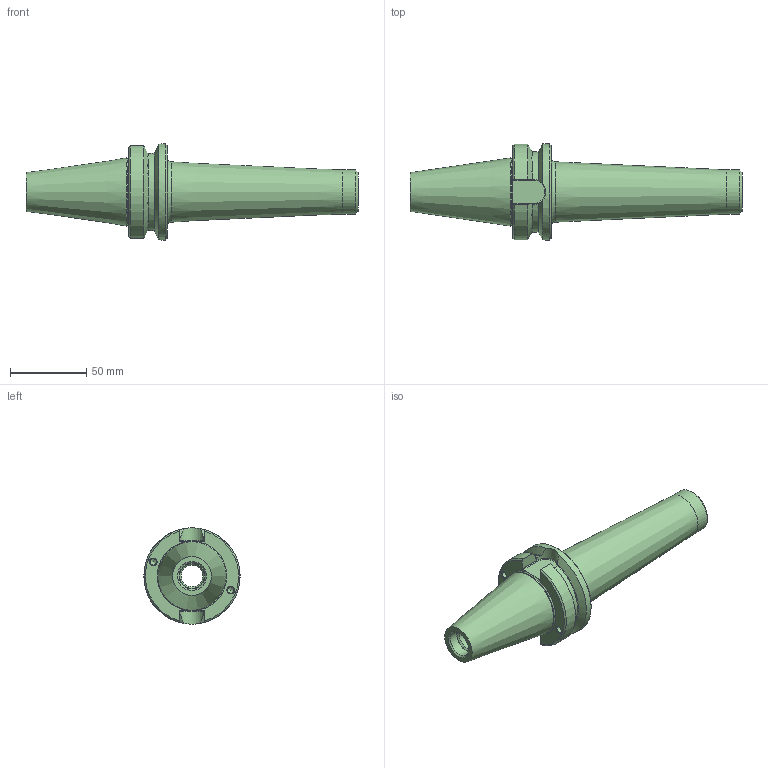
import cadquery as cq
import math

ORIGIN = (0, 0, 0)
AXIS = (1, 0, 0)

GAUGE_DIAMETER = 44.45
TAPER_LENGTH = 65.4
TAPER_RATE = 7 / 24
gauge_radius = GAUGE_DIAMETER / 2
small_end_radius = gauge_radius - TAPER_LENGTH * TAPER_RATE / 2

NECK_START = 0.4
NECK_DEPTH = 0.3
NECK_FILLET = 0.8
taper_end_radius = gauge_radius + NECK_START * TAPER_RATE / 2
neck_radius = taper_end_radius - NECK_DEPTH

FLANGE_RADIUS = 31.5
FLANGE_FRONT = 2.0
FLANGE_BACK = 27.0
FLANGE_FRONT_CHAMFER = 1.0
FLANGE_BACK_CHAMFER = 1.0
GROOVE_CENTER = 16.6
GROOVE_TOP_WIDTH = 10.0
GROOVE_FLOOR_RADIUS = 26.5
GROOVE_HALF_ANGLE = 30.0
GROOVE_FILLET = 0.5
groove_depth = FLANGE_RADIUS - GROOVE_FLOOR_RADIUS
groove_top_half = GROOVE_TOP_WIDTH / 2
groove_floor_half = groove_top_half - groove_depth * math.tan(math.radians(GROOVE_HALF_ANGLE))

NOSE_END = 152.0
NOSE_LENGTH = 10.0
NOSE_RADIUS = 14.5
NOSE_CHAMFER = 1.5
SHANK_ROOT_RADIUS = 19.75
ROOT_FILLET = 3.0
nose_start = NOSE_END - NOSE_LENGTH
root_end = FLANGE_BACK + ROOT_FILLET

SLOT_WIDTH = 16.4
SLOT_FLOOR_HEIGHT = 22.5
SLOT_END = 23.5
SLOT_FLOOR_FILLET = 0.5
slot_radius = SLOT_WIDTH / 2

BORE_RADIUS = 7.0
COUNTERBORE_RADIUS = 8.5
COUNTERBORE_DEPTH = 7.0
MOUTH_CHAMFER = 1.0
BORE_CHAMFER = 1.0

COOLANT_HOLE_RADIUS = 2.1
COOLANT_HOLE_CHAMFER = 0.4
COOLANT_HOLE_DEPTH = 6.0
COOLANT_CIRCLE_RADIUS = 27.0
COOLANT_ANGLE = 20.0
DRILL_POINT_HALF_ANGLE = 59.0

ARC_MIDDLE = 1 - math.sqrt(0.5)


def make_body():
    """Revolve the outer profile; sketch x is along the axis, sketch y is the radius."""
    neck_arc = NECK_FILLET * ARC_MIDDLE
    root_arc = ROOT_FILLET * ARC_MIDDLE
    profile = (
        cq.Workplane("XY")
        .moveTo(-TAPER_LENGTH, 0)
        .lineTo(-TAPER_LENGTH, small_end_radius)
        .lineTo(NECK_START, taper_end_radius)
        .lineTo(NECK_START + NECK_DEPTH, neck_radius)
        .lineTo(FLANGE_FRONT - NECK_FILLET, neck_radius)
        .threePointArc(
            (FLANGE_FRONT - neck_arc, neck_radius + neck_arc),
            (FLANGE_FRONT, neck_radius + NECK_FILLET),
        )
        .lineTo(FLANGE_FRONT, FLANGE_RADIUS - FLANGE_FRONT_CHAMFER)
        .lineTo(FLANGE_FRONT + FLANGE_FRONT_CHAMFER, FLANGE_RADIUS)
        .lineTo(GROOVE_CENTER - groove_top_half, FLANGE_RADIUS)
        .lineTo(GROOVE_CENTER - groove_floor_half, GROOVE_FLOOR_RADIUS)
        .lineTo(GROOVE_CENTER + groove_floor_half, GROOVE_FLOOR_RADIUS)
        .lineTo(GROOVE_CENTER + groove_top_half, FLANGE_RADIUS)
        .lineTo(FLANGE_BACK - FLANGE_BACK_CHAMFER, FLANGE_RADIUS)
        .lineTo(FLANGE_BACK, FLANGE_RADIUS - FLANGE_BACK_CHAMFER)
        .lineTo(FLANGE_BACK, SHANK_ROOT_RADIUS + ROOT_FILLET)
        .threePointArc(
            (FLANGE_BACK + root_arc, SHANK_ROOT_RADIUS + root_arc),
            (root_end, SHANK_ROOT_RADIUS),
        )
        .lineTo(nose_start, NOSE_RADIUS)
        .lineTo(NOSE_END - NOSE_CHAMFER, NOSE_RADIUS)
        .lineTo(NOSE_END, NOSE_RADIUS - NOSE_CHAMFER)
        .lineTo(NOSE_END, 0)
        .close()
    )
    body = profile.revolve(360, ORIGIN, AXIS)
    reach = GROOVE_FLOOR_RADIUS + GROOVE_FILLET / 2
    floor_edges = cq.selectors.BoxSelector(
        (GROOVE_CENTER - groove_floor_half - GROOVE_FILLET, -reach, -reach),
        (GROOVE_CENTER + groove_floor_half + GROOVE_FILLET, reach, reach),
        boundingbox=True,
    )
    return body.edges(floor_edges).fillet(GROOVE_FILLET)


def make_bore():
    """Through bore with a counterbore at the small end, both chamfered."""
    counterbore_floor = COUNTERBORE_DEPTH - TAPER_LENGTH
    profile = (
        cq.Workplane("XY")
        .moveTo(-TAPER_LENGTH, 0)
        .lineTo(-TAPER_LENGTH, COUNTERBORE_RADIUS + MOUTH_CHAMFER)
        .lineTo(-TAPER_LENGTH + MOUTH_CHAMFER, COUNTERBORE_RADIUS)
        .lineTo(counterbore_floor, COUNTERBORE_RADIUS)
        .lineTo(counterbore_floor, BORE_RADIUS + BORE_CHAMFER)
        .lineTo(counterbore_floor + BORE_CHAMFER, BORE_RADIUS)
        .lineTo(NOSE_END, BORE_RADIUS)
        .lineTo(NOSE_END, 0)
        .close()
    )
    return profile.revolve(360, ORIGIN, AXIS)


def make_drive_slot():
    """Upper drive slot: open at the flange front, rounded at its closed end."""
    round_center = SLOT_END - slot_radius
    return (
        cq.Workplane("XY", origin=(0, 0, SLOT_FLOOR_HEIGHT))
        .moveTo(0, -slot_radius)
        .lineTo(round_center, -slot_radius)
        .threePointArc((SLOT_END, 0), (round_center, slot_radius))
        .lineTo(0, slot_radius)
        .close()
        .extrude(FLANGE_RADIUS - SLOT_FLOOR_HEIGHT)
        .faces("<Z")
        .edges("not <X")
        .fillet(SLOT_FLOOR_FILLET)
    )


def make_coolant_hole():
    """Blind drilled hole with a chamfered mouth and a conical bottom, placed on its circle."""
    cone_height = COOLANT_HOLE_RADIUS / math.tan(math.radians(DRILL_POINT_HALF_ANGLE))
    hole_bottom = FLANGE_FRONT + COOLANT_HOLE_DEPTH
    hole = (
        cq.Workplane("XY")
        .moveTo(FLANGE_FRONT, 0)
        .lineTo(FLANGE_FRONT, COOLANT_HOLE_RADIUS + COOLANT_HOLE_CHAMFER)
        .lineTo(FLANGE_FRONT + COOLANT_HOLE_CHAMFER, COOLANT_HOLE_RADIUS)
        .lineTo(hole_bottom, COOLANT_HOLE_RADIUS)
        .lineTo(hole_bottom + cone_height, 0)
        .close()
        .revolve(360, ORIGIN, AXIS)
    )
    return hole.translate((0, COOLANT_CIRCLE_RADIUS, 0)).rotate(ORIGIN, AXIS, COOLANT_ANGLE)


result = make_body().cut(make_bore())
for half_turn in (0, 180):
    for cutter in (make_drive_slot(), make_coolant_hole()):
        result = result.cut(cutter.rotate(ORIGIN, AXIS, half_turn))